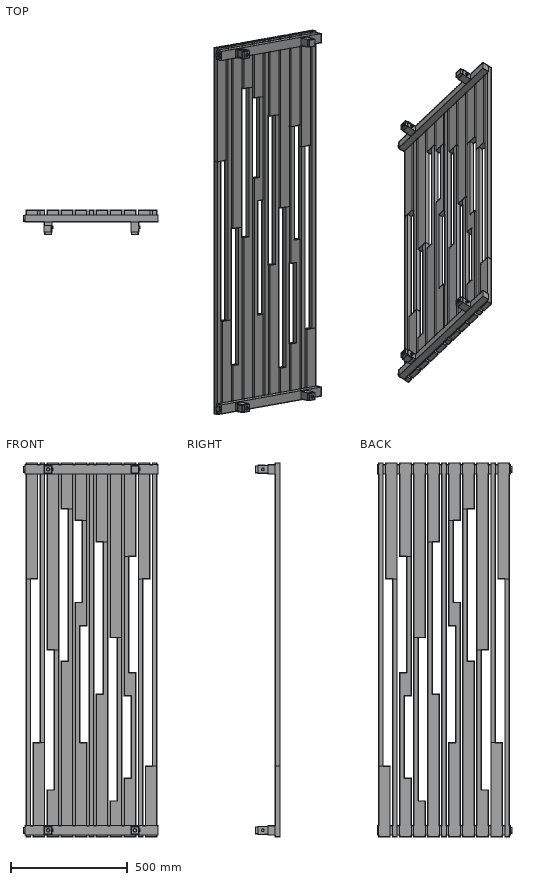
import cadquery as cq


HEIGHT = 1600.0
NARROW_WIDTH = 20.0
SLAT_GAP = 10.0
SLAT_DEPTH = 20.0
GRID = NARROW_WIDTH + SLAT_GAP
WIDE_WIDTH = GRID + NARROW_WIDTH
GRID_STEPS = 18
PANEL_WIDTH = GRID_STEPS * GRID + NARROW_WIDTH

HEADER_LENGTH = 570.0
HEADER_DEPTH = 30.0
HEADER_HEIGHT = 40.0
HEADER_INSET = 8.0
BOTTOM_HEADER_Z = HEADER_INSET + HEADER_HEIGHT / 2
TOP_HEADER_Z = HEIGHT - BOTTOM_HEADER_Z

PLUG_DIAMETER = 25.0
PLUG_LENGTH = 6.0

VENT_DIAMETER = 6.0

BRACKET_OFFSET = 185.0
SLEEVE_SIZE = 34.0
SLEEVE_LENGTH = 43.0
CAP_SIZE = 30.0
CAP_LENGTH = 11.0
SOCKET_DIAMETER = 15.0
SOCKET_DEPTH = 8.0
SCREW_DIAMETER = 11.0
SCREW_LENGTH = 5.0
SCREW_DISTANCE = 22.0

HOOD_SIZE = 30.0
HOOD_SHIFT = 3.0
HOOD_START = 15.0

SLAT_FRONT = 0.0
HEADER_FRONT = SLAT_FRONT - HEADER_DEPTH

SLATS = [
    (0, WIDE_WIDTH, 1104.0, [("right", 0, 1104.0)]),
    (1, WIDE_WIDTH, 403.0, [("left", 403.0, HEIGHT)]),
    (3, WIDE_WIDTH, 800.0, [("left", 202.0, 800.0)]),
    (5, WIDE_WIDTH, 1403.0, [("left", 752.0, 1403.0)]),
    (7, WIDE_WIDTH, 1354.0, [("left", 1003.0, 1354.0), ("right", 403.0, 902.0)]),
    (9, NARROW_WIDTH, HEIGHT, []),
    (10, WIDE_WIDTH, 1262.0, [("left", 611.0, 1262.0)]),
    (12, WIDE_WIDTH, 853.0, [("left", 154.0, 853.0)]),
    (14, WIDE_WIDTH, 1200.0, [("right", 702.0, 1200.0), ("left", 251.0, 603.0)]),
    (16, WIDE_WIDTH, 1104.0, [("right", 0, 1104.0)]),
    (17, WIDE_WIDTH, 302.0, [("left", 302.0, HEIGHT)]),
]


def block(x_min, width, y_min, depth, z_min, height):
    """Box given by its lowest corner and its size along each axis."""
    return cq.Workplane("XY").box(width, depth, height, centered=False).translate((x_min, y_min, z_min))


def make_slat_piece(grid_step, width, notches, z_min, z_max):
    """Stretch of a slat between two levels, cut back to the narrow width at each notch."""
    x_left = -PANEL_WIDTH / 2 + grid_step * GRID
    piece = block(x_left, width, SLAT_FRONT, SLAT_DEPTH, z_min, z_max - z_min)
    for side, bottom, top in notches:
        x_notch = x_left if side == "left" else x_left + NARROW_WIDTH
        piece = piece.cut(block(x_notch, GRID, SLAT_FRONT, SLAT_DEPTH, bottom, top - bottom))
    return piece


def make_header(z_centre):
    """Rectangular bar with a round plug on its left end."""
    x_left = -HEADER_LENGTH / 2
    z_bottom = z_centre - HEADER_HEIGHT / 2
    bar = block(x_left, HEADER_LENGTH, HEADER_FRONT, HEADER_DEPTH, z_bottom, HEADER_HEIGHT)
    y_centre = HEADER_FRONT + HEADER_DEPTH / 2
    plug = (
        cq.Workplane("YZ", origin=(x_left, y_centre, z_centre))
        .circle(PLUG_DIAMETER / 2)
        .extrude(-PLUG_LENGTH)
    )
    return bar.union(plug)


def make_bracket(x_centre, z_centre, has_socket):
    """Sleeve, end cap and side screw, with an optional blind socket in the end face."""
    sleeve_front = HEADER_FRONT - SLEEVE_LENGTH
    sleeve = (
        cq.Workplane("XZ", origin=(x_centre, HEADER_FRONT, z_centre))
        .rect(SLEEVE_SIZE, SLEEVE_SIZE)
        .extrude(SLEEVE_LENGTH)
    )
    cap = (
        cq.Workplane("XZ", origin=(x_centre, sleeve_front, z_centre))
        .rect(CAP_SIZE, CAP_SIZE)
        .extrude(CAP_LENGTH)
    )
    screw = (
        cq.Workplane("YZ", origin=(x_centre + SLEEVE_SIZE / 2, HEADER_FRONT - SCREW_DISTANCE, z_centre))
        .circle(SCREW_DIAMETER / 2)
        .extrude(SCREW_LENGTH)
    )
    bracket = sleeve.union(cap).union(screw)
    if has_socket:
        socket = (
            cq.Workplane("XZ", origin=(x_centre, sleeve_front - CAP_LENGTH, z_centre))
            .circle(SOCKET_DIAMETER / 2)
            .extrude(-SOCKET_DEPTH)
        )
        bracket = bracket.cut(socket)
    return bracket


def add_hood(bracket, x_centre, z_centre, outward):
    """Raised square hood on a bracket, standing proud on its left and outer (outward) sides."""
    x_hood = x_centre - HOOD_SHIFT
    z_hood = z_centre + outward * HOOD_SHIFT
    hood = (
        cq.Workplane("XZ", origin=(x_hood, HEADER_FRONT - HOOD_START, z_hood))
        .rect(HOOD_SIZE, HOOD_SIZE)
        .extrude(SLEEVE_LENGTH - HOOD_START)
    )
    return bracket.union(hood)


def make_frame(z_header, outward, right_has_socket):
    """One header with its plug and its two brackets; outward is +1 at the top and -1 at the bottom."""
    left_bracket = make_bracket(-BRACKET_OFFSET, z_header, has_socket=True)
    left_bracket = add_hood(left_bracket, -BRACKET_OFFSET, z_header, outward)
    right_bracket = make_bracket(BRACKET_OFFSET, z_header, right_has_socket)
    return make_header(z_header).union(left_bracket).union(right_bracket)


def cut_vent(frame, z_header):
    """Bore the vent through the length of the header plug."""
    y_centre = HEADER_FRONT + HEADER_DEPTH / 2
    vent = (
        cq.Workplane("YZ", origin=(-HEADER_LENGTH / 2, y_centre, z_header))
        .circle(VENT_DIAMETER / 2)
        .extrude(-PLUG_LENGTH)
    )
    return frame.cut(vent)


lower_frame = make_frame(BOTTOM_HEADER_Z, outward=-1, right_has_socket=True)
for grid_step, width, joint, notches in SLATS:
    lower_frame = lower_frame.union(make_slat_piece(grid_step, width, notches, 0, joint))

upper_frame = make_frame(TOP_HEADER_Z, outward=1, right_has_socket=False)
upper_frame = cut_vent(upper_frame, TOP_HEADER_Z)
for grid_step, width, joint, notches in SLATS:
    if joint < HEIGHT:
        upper_frame = upper_frame.union(make_slat_piece(grid_step, width, notches, joint, HEIGHT))

result = cq.Compound.makeCompound([lower_frame.val(), upper_frame.val()])